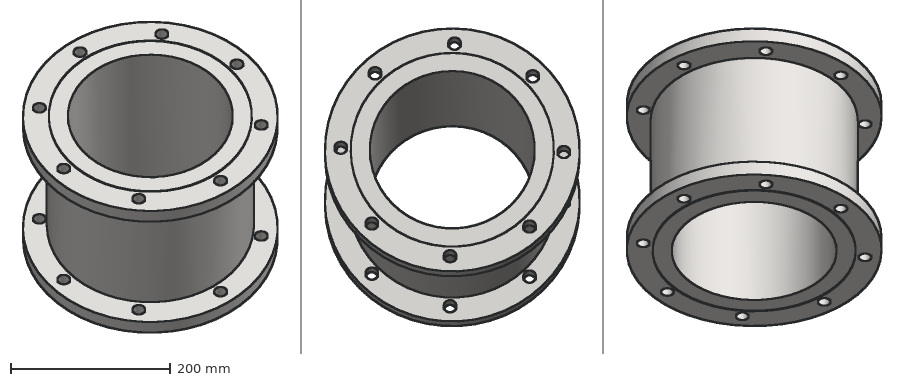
import cadquery as cq

total_height = 230.0
bore_diameter = 207.0

flange_diameter = 320.0
flange_thickness = 20.0
raised_face_diameter = 255.0
raised_face_height = 1.0

bolt_count = 8
bolt_circle_diameter = 280.0
bolt_hole_diameter = 16.0
first_bolt_angle = 180 / bolt_count

neck_diameter = 211.5
neck_length = 2.2
body_diameter = 260.0
body_edge_radius = 3.0

flange_bottom = raised_face_height
flange_top = flange_bottom + flange_thickness
body_bottom = flange_top + neck_length
body_height = total_height - 2 * body_bottom


def disc(diameter, height, base_z):
    return cq.Workplane("XY").workplane(offset=base_z).circle(diameter / 2).extrude(height)


def make_flange():
    """Lower flange with its raised sealing face and ring of bolt holes."""
    bolt_holes = (
        cq.Workplane("XY")
        .workplane(offset=flange_bottom)
        .polarArray(bolt_circle_diameter / 2, first_bolt_angle, 360, bolt_count)
        .circle(bolt_hole_diameter / 2)
        .extrude(flange_thickness)
    )
    plate = disc(flange_diameter, flange_thickness, flange_bottom).cut(bolt_holes)
    return plate.union(disc(raised_face_diameter, raised_face_height, 0))


def make_body():
    """Central cylinder with rounded end rims."""
    return disc(body_diameter, body_height, body_bottom).edges("%CIRCLE").fillet(body_edge_radius)


lower_flange = make_flange()
upper_flange = lower_flange.mirror("XY").translate((0, 0, total_height))
neck_core = disc(neck_diameter, total_height - 2 * flange_top, flange_top)
bore = disc(bore_diameter, total_height, 0)

solid_part = make_body().union(neck_core).union(lower_flange).union(upper_flange)
result = solid_part.cut(bore).translate((0, 0, -total_height / 2))